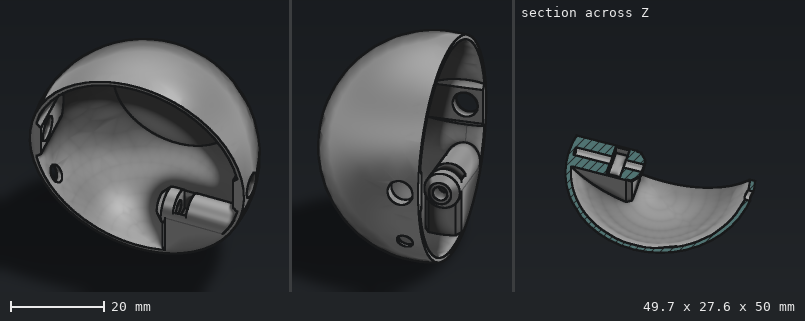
import cadquery as cq

outer_radius = 25.0
wall = 1.0
inner_radius = outer_radius - wall
rim_y = -4.0
outer_flat_y = 23.56
floor_y = 19.2

pad_face_x = 22.1
pad_half_height = 4.0
pad_bevel = outer_radius - pad_face_x
cross_hole_diameter = 5.6

boss_z = -13.0
boss_radius = -rim_y
boss_tip_x = 4.0
boss_chamfer = 1.5
bore_diameter = 3.2
entry_hole_diameter = 3.5

web_start_x = boss_tip_x + boss_chamfer
web_half_depth = boss_radius
web_chamfer = 1.0

nut_start_x = 8.1
nut_thickness = 3.0
nut_width = 7.0


def sphere_slice(radius, start_y, end_y):
    """Ball of the given radius about the origin, cut flat at both Y positions."""
    slab_width = 3 * radius
    slab = cq.Workplane("XY").box(slab_width, end_y - start_y, slab_width)
    slab = slab.translate((0, (start_y + end_y) / 2, 0))
    return cq.Workplane("XY").sphere(radius).intersect(slab)


def rod_along_x(diameter, start_x, end_x, z):
    """Round rod parallel to X."""
    return cq.Workplane("YZ", origin=(start_x, 0, z)).circle(diameter / 2).extrude(end_x - start_x)


def make_pad(side):
    """Bevelled pad on the -X or +X side, reaching from the rim to the flat end."""
    root_half_height = pad_half_height + pad_bevel
    outline = [
        (side * pad_face_x, -pad_half_height),
        (side * pad_face_x, pad_half_height),
        (side * outer_radius, root_half_height),
        (side * outer_radius, -root_half_height),
    ]
    return cq.Workplane("XZ", origin=(0, rim_y, 0)).polyline(outline).close().extrude(rim_y - outer_flat_y)


def make_boss():
    """Screw boss with a chamfered tip."""
    boss = rod_along_x(2 * boss_radius, boss_tip_x, outer_radius, boss_z)
    return boss.faces("<X").chamfer(boss_chamfer)


def make_web():
    """Block under the boss with its two upright tip-side edges chamfered."""
    web_length = outer_radius - web_start_x
    web_height = outer_radius + boss_z
    web = cq.Workplane("XY").box(web_length, 2 * web_half_depth, web_height, centered=(False, True, False))
    web = web.faces("<X").edges("|Z").chamfer(web_chamfer)
    return web.translate((web_start_x, 0, -outer_radius))


def make_nut_pocket():
    """Slot for a nut, from half a nut below the bore axis up through the top of the boss."""
    pocket_height = boss_radius + nut_width / 2
    pocket = cq.Workplane("XY").box(nut_thickness, nut_width, pocket_height, centered=(False, True, False))
    return pocket.translate((nut_start_x, 0, boss_z - nut_width / 2))


fittings = make_boss().union(make_web())
fittings = fittings.cut(rod_along_x(bore_diameter, boss_tip_x, outer_radius, boss_z))
fittings = fittings.cut(make_nut_pocket())
for side in (-1, 1):
    fittings = fittings.union(make_pad(side))

cavity = sphere_slice(inner_radius, -outer_radius, floor_y).cut(fittings)
result = sphere_slice(outer_radius, rim_y, outer_flat_y).cut(cavity)

result = result.cut(rod_along_x(cross_hole_diameter, -outer_radius, outer_radius, 0))
result = result.cut(rod_along_x(entry_hole_diameter, -outer_radius, 0, boss_z))